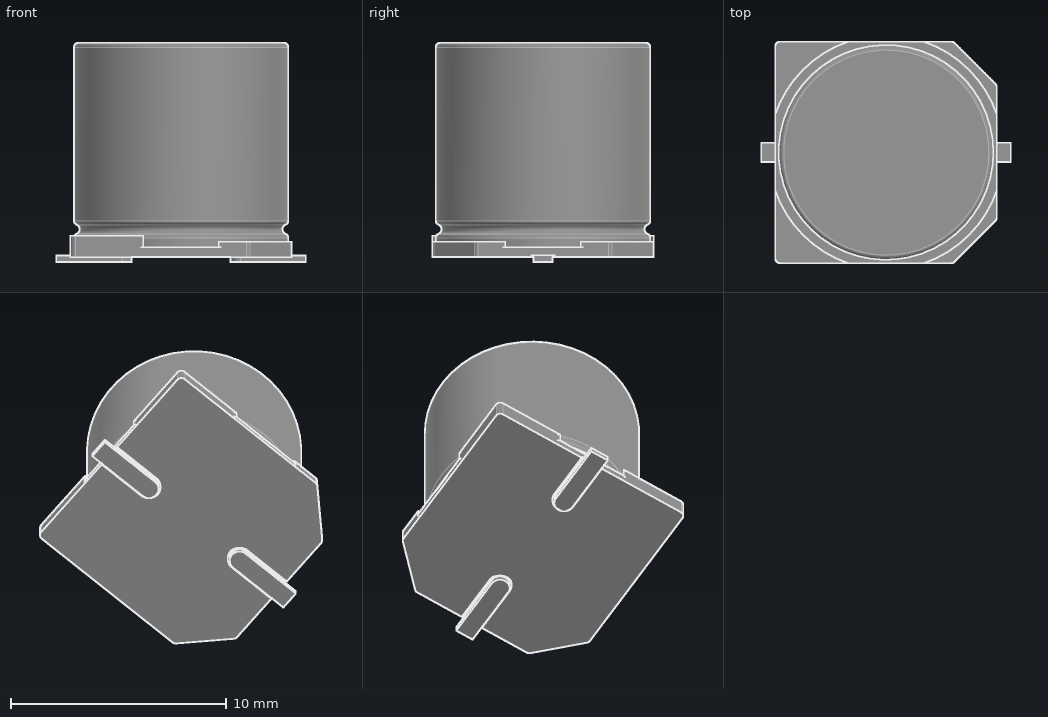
import cadquery as cq
import math


total_length = 11.6
total_height = 10.2

lead_width = 0.9
lead_thickness = 0.31
lead_length = 3.5
lead_angles = (0, 180)

base_side = 10.3
base_bottom = 0.23
square_corner_top = 1.23
cut_corner_top = 0.95
corner_cut = 2.03
corner_radius = 0.23
recess_radius = 5.44
recess_floor = 0.7
slot_side_gap = 0.09

can_radius = 4.99
can_top_radius = 0.22
groove_middle = 1.53
groove_depth = 0.27
groove_radius = 0.23
groove_lip_radius = 0.2


def make_strip(width):
    """Flat strip under the -X half, with a square outer end and a round inner end."""
    half_width = width / 2
    outer_x = -total_length / 2
    tip_x = outer_x + lead_length + (width - lead_width) / 2
    round_x = tip_x - half_width
    return (
        cq.Workplane("XY")
        .moveTo(outer_x, -half_width)
        .lineTo(round_x, -half_width)
        .threePointArc((tip_x, 0), (round_x, half_width))
        .lineTo(outer_x, half_width)
        .close()
        .extrude(lead_thickness)
    )


def make_base():
    """Square plate with two cut corners, a round recess for the can and slots for the leads."""
    height = square_corner_top - base_bottom
    half_side = base_side / 2
    cut_start = half_side - corner_cut
    plate = (
        cq.Workplane("XY", origin=(0, 0, base_bottom))
        .moveTo(-half_side, -half_side)
        .lineTo(cut_start, -half_side)
        .lineTo(half_side, -cut_start)
        .lineTo(half_side, cut_start)
        .lineTo(cut_start, half_side)
        .lineTo(-half_side, half_side)
        .close()
        .extrude(height)
        .edges("|Z")
        .fillet(corner_radius)
    )

    step = (
        cq.Workplane("XY", origin=(0, 0, cut_corner_top))
        .rect(half_side, base_side)
        .extrude(height)
        .translate((half_side / 2, 0, 0))
    )

    recess = (
        cq.Workplane("XY", origin=(0, 0, recess_floor))
        .circle(recess_radius)
        .extrude(height)
    )
    plate = plate.cut(step).cut(recess)

    slot = make_strip(lead_width + 2 * slot_side_gap)
    for angle in lead_angles:
        plate = plate.cut(slot.rotate((0, 0, 0), (0, 0, 1), angle))
    return plate


def make_can():
    """Revolved can with a rounded top edge and a crimped groove near its foot."""
    turn = math.acos(1 - groove_depth / (groove_radius + groove_lip_radius))
    groove_half_width = groove_radius * math.sin(turn)
    lip_height = groove_lip_radius * math.sin(turn)
    groove_low = groove_middle - groove_half_width
    groove_high = groove_middle + groove_half_width
    lip_low = groove_low - lip_height
    lip_high = groove_high + lip_height
    neck_radius = can_radius - groove_lip_radius * (1 - math.cos(turn))
    lip_mid_radius = can_radius - groove_lip_radius * (1 - math.cos(turn / 2))
    lip_mid_rise = groove_lip_radius * math.sin(turn / 2)
    profile = (
        cq.Workplane("XZ")
        .moveTo(0, recess_floor)
        .lineTo(can_radius, recess_floor)
        .lineTo(can_radius, lip_low)
        .threePointArc((lip_mid_radius, lip_low + lip_mid_rise), (neck_radius, groove_low))
        .threePointArc((can_radius - groove_depth, groove_middle), (neck_radius, groove_high))
        .threePointArc((lip_mid_radius, lip_high - lip_mid_rise), (can_radius, lip_high))
        .lineTo(can_radius, total_height)
        .lineTo(0, total_height)
        .close()
    )
    can = profile.revolve(360, (0, 0, 0), (0, 1, 0))
    return can.faces(">Z").edges().fillet(can_top_radius)


base = make_base()
can = make_can()
leads = [make_strip(lead_width).rotate((0, 0, 0), (0, 0, 1), angle) for angle in lead_angles]

result = cq.Compound.makeCompound([base.val(), can.val(), *[lead.val() for lead in leads]])